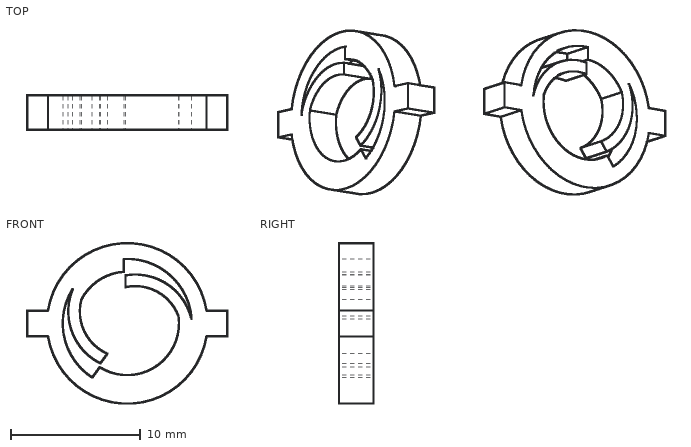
import cadquery as cq

overall_length = 15.5
thickness = 2.7
outer_radius = 6.23
bore_radius = 4.0
tab_height = 2.0

relief_radius = 4.99
finger_outer_radius = 4.48
finger_width = 0.91
finger_center_x = 0.62
finger_center_z = -0.68
relief_end_x = -0.26
finger_tip_x = -0.14
finger_angles = (0, 144)


def disc(radius, x=0, z=0):
    """Disc of full thickness, centred on the XZ plane."""
    profile = cq.Workplane("XZ").center(x, z).circle(radius)
    return profile.extrude(thickness / 2, both=True)


def upper_right_block(left_x):
    """Block covering everything above Z = 0 and right of left_x."""
    profile = cq.Workplane("XZ").moveTo(left_x, 0)
    profile = profile.rect(overall_length, overall_length, centered=False)
    return profile.extrude(thickness / 2, both=True)


def rotate_on_ring(shape, angle):
    """Turn a shape about the ring axis, counterclockwise seen from -Y."""
    return shape.rotate((0, 0, 0), (0, -1, 0), angle)


tabs = cq.Workplane("XY").box(overall_length, thickness, tab_height)
body = disc(outer_radius).union(tabs)

finger_disc = disc(finger_outer_radius, finger_center_x, finger_center_z)
finger_hollow = disc(finger_outer_radius - finger_width, finger_center_x, finger_center_z)
relief = disc(relief_radius).cut(finger_disc).intersect(upper_right_block(relief_end_x))

finger = finger_disc.cut(finger_hollow).intersect(upper_right_block(finger_tip_x))

opening = disc(bore_radius)
for angle in finger_angles:
    opening = opening.cut(rotate_on_ring(finger, angle))

result = body.cut(opening)
for angle in finger_angles:
    result = result.cut(rotate_on_ring(relief, angle))